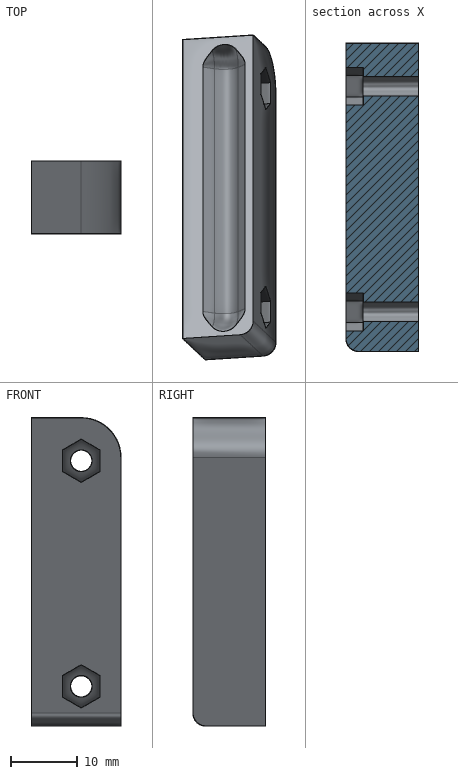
import cadquery as cq
import math

WIDTH = 13.5
DEPTH = 11.0
HEIGHT = 46.5
TOP_CORNER_RADIUS = 6.0
BOTTOM_EDGE_RADIUS = 2.0

HOLE_DIAMETER = 3.2
HOLE_X = WIDTH - TOP_CORNER_RADIUS
LOWER_HOLE_Z = 6.0
HOLE_SPACING = 34.0
NUT_CORNER_DIAMETER = 6.5
NUT_DEPTH = 2.6

GROOVE_Y = 4.55
GROOVE_HALF_WIDTH = 3.3
GROOVE_FLOOR_RADIUS = 2.6
GROOVE_WALL_ANGLE = math.radians(45)
GROOVE_LOWER_Z = 4.0
GROOVE_STRAIGHT_LENGTH = 38.0
END_AXIS_OFFSET = 1.35


def make_body():
    body = cq.Workplane("XY").box(WIDTH, DEPTH, HEIGHT, centered=False)
    body = body.edges("|Y and >X and >Z").fillet(TOP_CORNER_RADIUS)
    return body.edges("|X and <Y and <Z").fillet(BOTTOM_EDGE_RADIUS)


def make_screw_cut(z):
    """Through hole with a nut pocket whose corners point up and down."""
    front = cq.Workplane("XZ", origin=(HOLE_X, 0, z))
    hole = front.circle(HOLE_DIAMETER / 2).extrude(-DEPTH)
    pocket = front.transformed(rotate=(0, 0, 90)).polygon(6, NUT_CORNER_DIAMETER).extrude(-NUT_DEPTH)
    return hole.union(pocket)


def groove_profile(z):
    """Closed groove section at height z, reaching out to the axis of the turned ends."""
    tangent_half_width = GROOVE_FLOOR_RADIUS * math.sin(GROOVE_WALL_ANGLE)
    tangent_x = (GROOVE_HALF_WIDTH - tangent_half_width) * math.tan(GROOVE_WALL_ANGLE)
    floor_x = tangent_x + GROOVE_FLOOR_RADIUS * (1 - math.cos(GROOVE_WALL_ANGLE))
    return (
        cq.Workplane("XY", origin=(0, GROOVE_Y, z))
        .moveTo(-END_AXIS_OFFSET, -GROOVE_HALF_WIDTH)
        .lineTo(0, -GROOVE_HALF_WIDTH)
        .lineTo(tangent_x, -tangent_half_width)
        .threePointArc((floor_x, 0), (tangent_x, tangent_half_width))
        .lineTo(0, GROOVE_HALF_WIDTH)
        .lineTo(-END_AXIS_OFFSET, GROOVE_HALF_WIDTH)
        .close()
    )


def make_groove():
    groove = groove_profile(GROOVE_LOWER_Z).extrude(GROOVE_STRAIGHT_LENGTH)
    axis_start = (-END_AXIS_OFFSET, 0)
    axis_end = (-END_AXIS_OFFSET, 1)
    for z in (GROOVE_LOWER_Z, GROOVE_LOWER_Z + GROOVE_STRAIGHT_LENGTH):
        groove = groove.union(groove_profile(z).revolve(360, axis_start, axis_end))
    return groove


result = make_body().cut(make_groove())
for hole_z in (LOWER_HOLE_Z, LOWER_HOLE_Z + HOLE_SPACING):
    result = result.cut(make_screw_cut(hole_z))